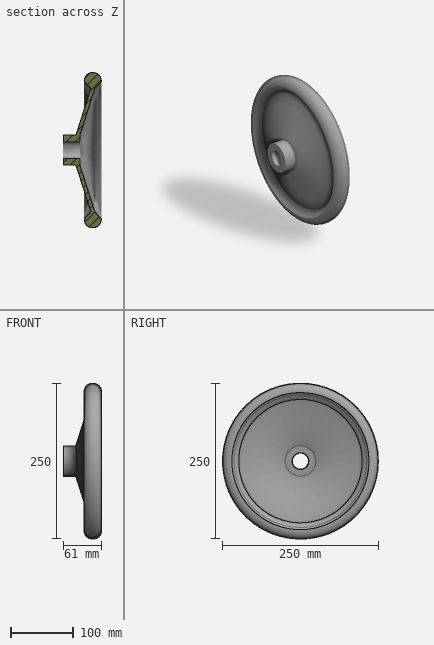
import cadquery as cq

wheel_diameter = 250.0
wheel_depth = 61.0
rim_width = 28.0
hub_diameter = 49.0
bore_diameter = 26.0
hub_length = 19.7
web_outer_radius = 99.0
bevel_outer_radius = 106.5
bevel_depth = 7.0
rim_inner_radius = 110.0

wheel_radius = wheel_diameter / 2
rim_front = wheel_depth - rim_width
rim_centre = rim_front + rim_width / 2

hub_radius = hub_diameter / 2
bore_radius = bore_diameter / 2
lip_depth = rim_inner_radius - bevel_outer_radius
bevel_front = rim_front + lip_depth
web_front = bevel_front + bevel_depth
web_thickness = 2 * (rim_centre - web_front)
web_back = web_front + web_thickness
bevel_back = web_back + bevel_depth
web_rear_start = hub_length + web_thickness


profile = (
    cq.Workplane("XY")
    .moveTo(0, bore_radius)
    .lineTo(0, hub_radius)
    .lineTo(hub_length, hub_radius)
    .lineTo(web_front, web_outer_radius)
    .lineTo(bevel_front, bevel_outer_radius)
    .lineTo(rim_front, rim_inner_radius)
    .threePointArc((rim_centre, wheel_radius), (wheel_depth, rim_inner_radius))
    .lineTo(bevel_back, bevel_outer_radius)
    .lineTo(web_back, web_outer_radius)
    .lineTo(web_rear_start, hub_radius)
    .lineTo(web_rear_start, bore_radius)
    .close()
)

result = profile.revolve(360, (0, 0, 0), (1, 0, 0))